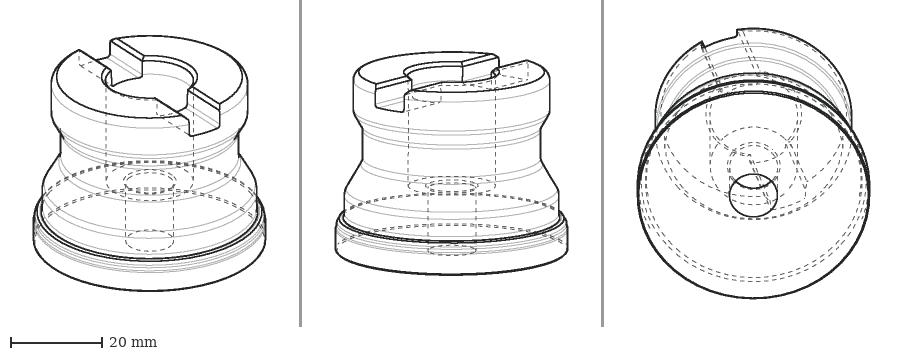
import cadquery as cq
import math

TOTAL_HEIGHT = 39.88
BASE_RADIUS = 50.8 / 2

SHOULDER_RADIUS = 47.0 / 2
NECK_RADIUS = 39.0 / 2
HEAD_RADIUS = 43.0 / 2

TAPER_ANGLE = math.radians(30)
SHOULDER_ROUND = 3.0
HEAD_ROUND = 2.0
SHOULDER_TOP = 12.2
NECK_TOP = 27.0
HEAD_STRAIGHT_TOP = 38.05

BASE_CHAMFER = 0.3
BASE_STRAIGHT_TOP = 4.78
STEP_RADIUS = 25.3
STEP_TOP = 5.15
WAIST_RADIUS = 25.2
WAIST_HEIGHT = 5.85
FLANGE_CONE_RADIUS = 25.03
FLANGE_CONE_START = 6.37
CREST_OUTER_RADIUS = 24.6
CREST_OUTER_HEIGHT = 7.08
CREST_RADIUS = 24.3
CREST_HEIGHT = 7.45
CREST_INNER_RADIUS = 24.05
CREST_INNER_HEIGHT = 7.4
GROOVE_RADIUS = 23.72
GROOVE_HEIGHT = 7.3
SHOULDER_FOOT = 8.3

CORNER_BULGE = 0.1

BORE_RADIUS = 19.05 / 2
LEAD_IN_RADIUS = 19.25 / 2
LEAD_IN_DEPTH = 4.0
BORE_DEPTH = 25.4
BOLT_RADIUS = 10.5 / 2
BOLT_CHAMFER = 0.5

SLOT_WIDTH = 8.2
SLOT_DEPTH = 4.85
SLOT_CORNER_ROUND = 0.75
MOUTH_CHAMFER = 0.85


def bulge_arc(outline, start, end, bulge):
    """Add an arc from start to end; positive bulge lies right of the travel direction."""
    run = end[0] - start[0]
    rise = end[1] - start[1]
    middle_r = (start[0] + end[0]) / 2 + rise * bulge
    middle_z = (start[1] + end[1]) / 2 - run * bulge
    return outline.threePointArc((middle_r, middle_z), end)


def taper_height(radius_change, blend_radius):
    """Height of a taper including its two equal blend rounds."""
    blend_run = 2 * blend_radius * (1 - math.cos(TAPER_ANGLE))
    blend_rise = 2 * blend_radius * math.sin(TAPER_ANGLE)
    return blend_rise + (radius_change - blend_run) / math.tan(TAPER_ANGLE)


def blended_taper(outline, start, end, blend_radius):
    """Go up from one cylinder to another through a cone with a round at each end."""
    direction = math.copysign(1, end[0] - start[0])
    full_run = direction * blend_radius * (1 - math.cos(TAPER_ANGLE))
    full_rise = blend_radius * math.sin(TAPER_ANGLE)
    cone_start = (start[0] + full_run, start[1] + full_rise)
    cone_end = (end[0] - full_run, end[1] - full_rise)
    arc_bulge = direction * math.tan(TAPER_ANGLE / 4) / 2
    outline = bulge_arc(outline, start, cone_start, -arc_bulge)
    outline = outline.lineTo(*cone_end)
    return bulge_arc(outline, cone_end, end, arc_bulge)


def flange_outline():
    """Start the half section on the axis and trace the flange up to the shoulder foot."""
    base_corner = (BASE_RADIUS, BASE_STRAIGHT_TOP)
    step = (STEP_RADIUS, STEP_TOP)
    waist = (WAIST_RADIUS, WAIST_HEIGHT)
    cone_start = (FLANGE_CONE_RADIUS, FLANGE_CONE_START)
    outline = (
        cq.Workplane("XZ")
        .moveTo(0, 0)
        .lineTo(BASE_RADIUS - BASE_CHAMFER, 0)
        .lineTo(BASE_RADIUS, BASE_CHAMFER)
        .lineTo(*base_corner)
    )
    outline = bulge_arc(outline, base_corner, step, CORNER_BULGE)
    outline = bulge_arc(outline, step, waist, -CORNER_BULGE)
    outline = bulge_arc(outline, waist, cone_start, CORNER_BULGE)
    outline = outline.lineTo(CREST_OUTER_RADIUS, CREST_OUTER_HEIGHT)
    crest_end = (CREST_INNER_RADIUS, CREST_INNER_HEIGHT)
    groove = (GROOVE_RADIUS, GROOVE_HEIGHT)
    outline = outline.threePointArc((CREST_RADIUS, CREST_HEIGHT), crest_end)
    outline = outline.lineTo(*groove)
    return bulge_arc(outline, groove, (SHOULDER_RADIUS, SHOULDER_FOOT), -CORNER_BULGE)


def make_body():
    """Revolve the outer half section."""
    neck_bottom = SHOULDER_TOP + taper_height(SHOULDER_RADIUS - NECK_RADIUS, SHOULDER_ROUND)
    head_bottom = NECK_TOP + taper_height(HEAD_RADIUS - NECK_RADIUS, HEAD_ROUND)

    rim_rise = TOTAL_HEIGHT - HEAD_STRAIGHT_TOP
    rim_angle = math.asin(rim_rise / HEAD_ROUND)
    rim_center_radius = HEAD_RADIUS - HEAD_ROUND
    rim_top = (rim_center_radius + HEAD_ROUND * math.cos(rim_angle), TOTAL_HEIGHT)
    rim_middle = (
        rim_center_radius + HEAD_ROUND * math.cos(rim_angle / 2),
        HEAD_STRAIGHT_TOP + HEAD_ROUND * math.sin(rim_angle / 2),
    )

    shoulder_end = (SHOULDER_RADIUS, SHOULDER_TOP)
    neck_start = (NECK_RADIUS, neck_bottom)
    neck_end = (NECK_RADIUS, NECK_TOP)
    head_start = (HEAD_RADIUS, head_bottom)

    outline = flange_outline().lineTo(*shoulder_end)
    outline = blended_taper(outline, shoulder_end, neck_start, SHOULDER_ROUND)
    outline = outline.lineTo(*neck_end)
    outline = blended_taper(outline, neck_end, head_start, HEAD_ROUND)
    outline = outline.lineTo(HEAD_RADIUS, HEAD_STRAIGHT_TOP).threePointArc(rim_middle, rim_top)
    outline = outline.lineTo(0, TOTAL_HEIGHT).close()
    return outline.revolve(360, (0, 0, 0), (0, 1, 0))


def make_bore():
    """Revolved cutter: bolt hole, main bore, lead-in and mouth chamfer."""
    floor = TOTAL_HEIGHT - BORE_DEPTH
    return (
        cq.Workplane("XZ")
        .moveTo(0, 0)
        .lineTo(BOLT_RADIUS, 0)
        .lineTo(BOLT_RADIUS, floor - BOLT_CHAMFER)
        .lineTo(BOLT_RADIUS + BOLT_CHAMFER, floor)
        .lineTo(BORE_RADIUS, floor)
        .lineTo(BORE_RADIUS, TOTAL_HEIGHT - LEAD_IN_DEPTH)
        .lineTo(LEAD_IN_RADIUS, TOTAL_HEIGHT - MOUTH_CHAMFER)
        .lineTo(LEAD_IN_RADIUS + MOUTH_CHAMFER, TOTAL_HEIGHT)
        .lineTo(0, TOTAL_HEIGHT)
        .close()
        .revolve(360, (0, 0, 0), (0, 1, 0))
    )


def make_slot():
    """Cutter for the cross slot, with chamfered mouth and rounded floor corners."""
    half_width = SLOT_WIDTH / 2
    chamfer_bottom = TOTAL_HEIGHT - MOUTH_CHAMFER
    trough = (
        cq.Workplane("YZ")
        .rect(SLOT_WIDTH, 2 * SLOT_DEPTH)
        .extrude(BASE_RADIUS, both=True)
        .edges("|X and <Z")
        .fillet(SLOT_CORNER_ROUND)
        .translate((0, 0, TOTAL_HEIGHT))
    )
    mouth = (
        cq.Workplane("YZ")
        .moveTo(-half_width, chamfer_bottom)
        .lineTo(half_width, chamfer_bottom)
        .lineTo(half_width + MOUTH_CHAMFER, TOTAL_HEIGHT)
        .lineTo(-half_width - MOUTH_CHAMFER, TOTAL_HEIGHT)
        .close()
        .extrude(BASE_RADIUS, both=True)
    )
    return trough.union(mouth)


result = make_body().cut(make_bore()).cut(make_slot())